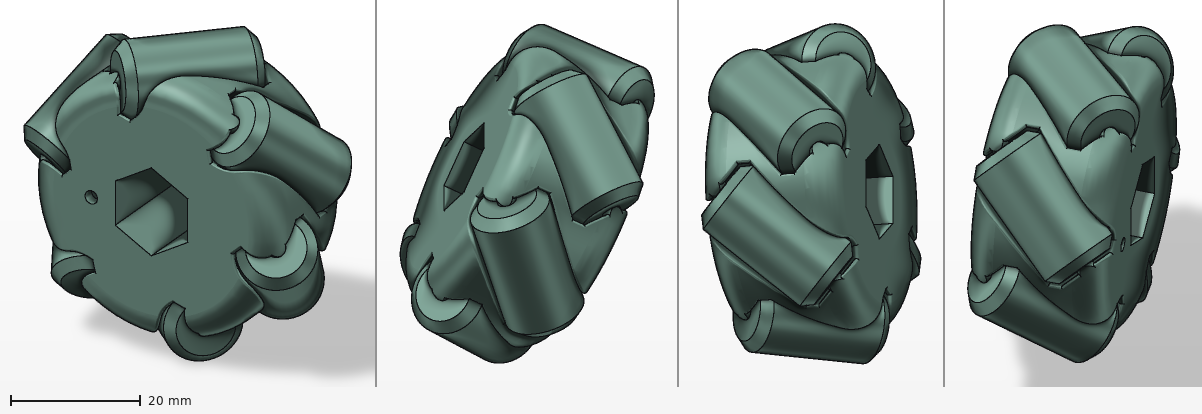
import cadquery as cq
import math

INCH = 25.4

hub_radius = 1.75 * INCH / 2
hub_width = 0.875 * INCH
hub_rim_fillet = 0.1875 * INCH
hex_across_flats = 12.9
hex_sides = 6
hex_turn = 30

roller_count = 6
roller_angle = 45
roller_radius = 0.25 * INCH
roller_length = 0.875 * INCH
roller_chamfer = 0.0625 * INCH
roller_orbit_radius = 0.75 * INCH

side_clearance = 0.2
end_clearance = 0.45
pocket_corner_chamfer = 1.45
pocket_edge_radius = INCH / 64

stud_radius = 1.5
stud_wall_overlap = 2 * pocket_edge_radius

plug_distance = 10.75
plug_radius = 3.6
plug_depth = 3.0
plug_hole_radius = 1.1
plug_hole_depth = 2.0

rim_sample_positions = (0.1, 0.5, 0.9)
rim_tolerance = 0.001


def barrel(radius, length, chamfer):
    """Cylinder along X with chamfered ends, centred on the origin."""
    half = length / 2
    return (
        cq.Workplane("XY")
        .moveTo(-half, 0)
        .lineTo(-half, chamfer - radius)
        .lineTo(chamfer - half, -radius)
        .lineTo(half - chamfer, -radius)
        .lineTo(half, chamfer - radius)
        .lineTo(half, 0)
        .close()
        .revolve(360, (0, 0, 0), (1, 0, 0))
    )


def at_station(shape, index):
    """Tilt a shape built along X and move it to one of the roller stations around the wheel."""
    return (
        shape.rotate((0, 0, 0), (0, 0, 1), roller_angle)
        .translate((0, 0, roller_orbit_radius))
        .rotate((0, 0, 0), (0, 1, 0), index * 360 / roller_count)
    )


def make_studs():
    """Pair of coaxial studs along X, reaching from the roller ends into the pocket end walls."""
    stud_length = end_clearance + stud_wall_overlap
    stud_disc = cq.Workplane("YZ").circle(stud_radius).extrude(stud_length)
    right_stud = stud_disc.translate((roller_length / 2, 0, 0))
    return right_stud.union(right_stud.mirror("YZ"))


def make_pocket_cutter(studs):
    """Barrel with clearance, opened radially outward to let the roller in, less the studs."""
    radius = roller_radius + side_clearance
    length = roller_length + 2 * end_clearance
    opening = (
        cq.Workplane("XY")
        .rect(length, 2 * radius)
        .extrude(hub_radius)
        .edges("|Z")
        .chamfer(pocket_corner_chamfer)
    )
    return barrel(radius, length, pocket_corner_chamfer).union(opening).cut(studs)


def make_hub_blank():
    """Disc with both rims rounded."""
    return (
        cq.Workplane("XZ")
        .circle(hub_radius)
        .extrude(hub_width / 2, both=True)
        .faces("<Y or >Y")
        .edges()
        .fillet(hub_rim_fillet)
    )


def touches(edge, position, shape):
    """True when the point at this fraction of the edge lies on or in the shape."""
    point = cq.Vertex.makeVertex(*edge.positionAt(position).toTuple())
    return point.distance(shape) < rim_tolerance


def is_pocket_rim(edge, blank_skin, pocket, studs):
    """True for an edge where this pocket's walls, but not its studs, meet the outer skin of the hub."""
    if edge.geomType() == "CIRCLE":
        return False
    if not all(touches(edge, position, blank_skin) for position in rim_sample_positions):
        return False
    return touches(edge, 0.5, pocket) and not touches(edge, 0.5, studs)


def cut_pocket(hub, blank_skin, pocket, studs):
    """Cut one pocket and round its rim up to the studs."""
    pocketed = hub.cut(pocket)
    rim_edges = [
        edge
        for edge in pocketed.edges().vals()
        if is_pocket_rim(edge, blank_skin, pocket.val(), studs.val())
    ]
    return pocketed.newObject(rim_edges).fillet(pocket_edge_radius)


def make_hub():
    """Rounded disc with one round-edged pocket per roller."""
    hub = make_hub_blank()
    blank_skin = hub.val().Shells()[0]
    studs = make_studs()
    cutter = make_pocket_cutter(studs)
    for index in range(roller_count):
        hub = cut_pocket(hub, blank_skin, at_station(cutter, index), at_station(studs, index))
    return hub


def add_rollers(hub):
    """Join all rollers to the hub at the stud tips."""
    roller = barrel(roller_radius, roller_length, roller_chamfer)
    rollers = [at_station(roller, index).val() for index in range(roller_count)]
    return hub.newObject([hub.val().fuse(*rollers)])


def cut_hex_bore(body):
    """Hexagonal bore through the hub with two corners on the Z axis."""
    corner_diameter = hex_across_flats / math.cos(math.pi / hex_sides)
    bore = (
        cq.Workplane("XZ")
        .polygon(hex_sides, corner_diameter)
        .extrude(hub_width, both=True)
        .rotate((0, 0, 0), (0, 1, 0), hex_turn)
    )
    return body.cut(bore, clean=False)


def add_plug(body):
    """Set a plug flush into the -Y face and drill it in the middle."""
    face = cq.Workplane("XZ", origin=(-plug_distance, -hub_width / 2, 0))
    plug = face.circle(plug_radius).extrude(-plug_depth)
    hole = face.circle(plug_hole_radius).extrude(-plug_hole_depth)
    return body.cut(plug).union(plug.cut(hole), clean=False)


wheel = add_rollers(make_hub())
result = add_plug(cut_hex_bore(wheel)).val()
if isinstance(result, cq.Compound):
    result = result.Solids()[0]
result = cq.Workplane(obj=result)